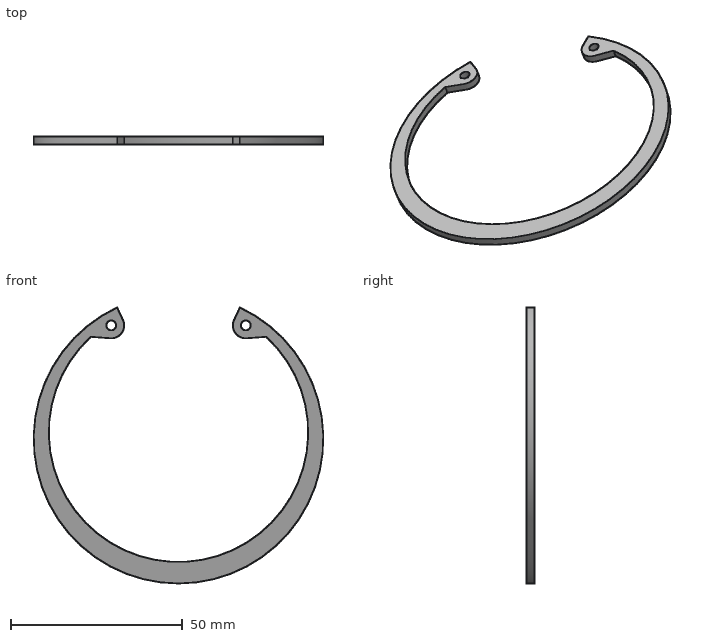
import math

import cadquery as cq

thickness = 2.36
outer_radius = 42.15
inner_radius = 37.68
inner_offset = 1.85
gap_half_width = 17.84
lug_hole_x = 19.56
lug_hole_z = 32.93
lug_radius = 3.78
lug_hole_radius = 1.4
lug_root_x = 25.5


def tangent_point(point, center, radius, side):
    """Point where a line from `point` touches a circle; `side` (+1 or -1) picks one of the two."""
    dx = point[0] - center[0]
    dz = point[1] - center[1]
    angle = math.atan2(dz, dx) + side * math.acos(radius / math.hypot(dx, dz))
    return (center[0] + radius * math.cos(angle), center[1] + radius * math.sin(angle))


def mirrored(point):
    return (-point[0], point[1])


def arc_middle(start, end, center, radius):
    """Middle of the shorter arc between two points of a circle."""
    dx = (start[0] + end[0]) / 2 - center[0]
    dz = (start[1] + end[1]) / 2 - center[1]
    reach = radius / math.hypot(dx, dz)
    return (center[0] + reach * dx, center[1] + reach * dz)


lug_center = (lug_hole_x, lug_hole_z)
end_corner = (gap_half_width, math.sqrt(outer_radius**2 - gap_half_width**2))
lug_root = (lug_root_x, inner_offset + math.sqrt(inner_radius**2 - lug_root_x**2))
lug_side = tangent_point(end_corner, lug_center, lug_radius, 1)
lug_underside = tangent_point(lug_root, lug_center, lug_radius, -1)
lug_tip = arc_middle(lug_side, lug_underside, lug_center, lug_radius)


def make_ring():
    """Eccentric open ring with a rounded lug at each end."""
    outline = (
        cq.Workplane("XZ")
        .moveTo(*end_corner)
        .threePointArc((0, -outer_radius), mirrored(end_corner))
        .lineTo(*mirrored(lug_side))
        .threePointArc(mirrored(lug_tip), mirrored(lug_underside))
        .lineTo(*mirrored(lug_root))
        .threePointArc((0, inner_offset - inner_radius), lug_root)
        .lineTo(*lug_underside)
        .threePointArc(lug_tip, lug_side)
        .close()
    )
    return outline.extrude(thickness / 2, both=True)


def make_lug_holes():
    """Plier holes through both lugs."""
    return (
        cq.Workplane("XZ")
        .pushPoints([lug_center, mirrored(lug_center)])
        .circle(lug_hole_radius)
        .extrude(thickness, both=True)
    )


result = make_ring().cut(make_lug_holes())